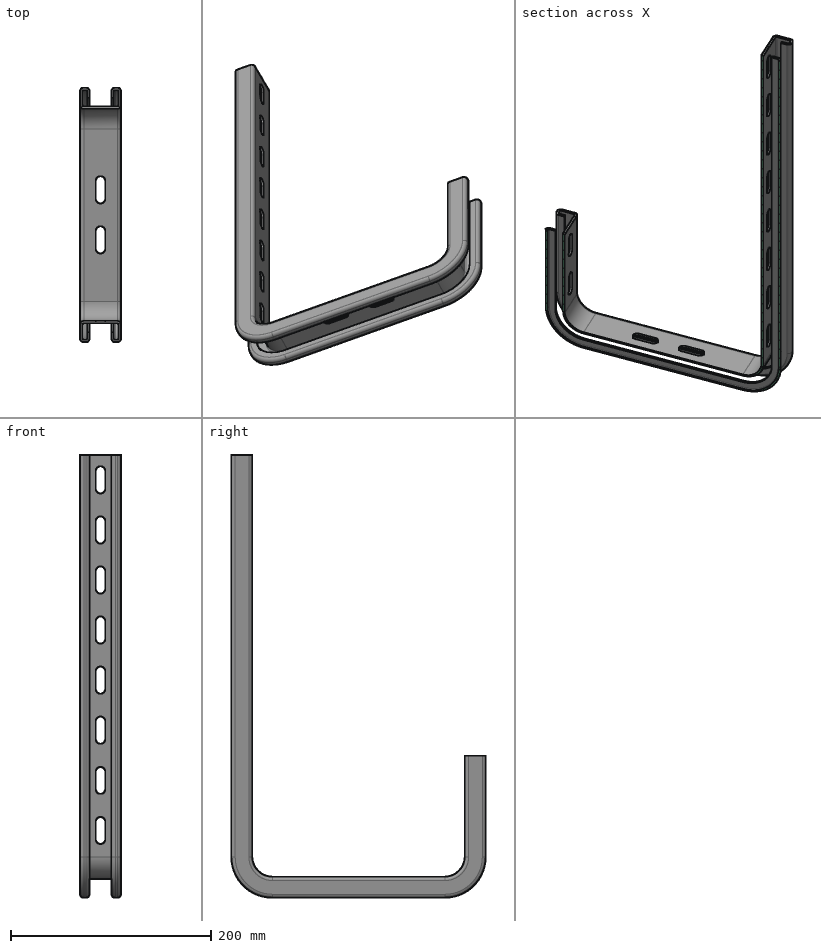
import cadquery as cq
import math

width = 41.0
length = 254.0
height = 442.0
short_leg_height = 142.0

depth = 21.0
wall = 2.5
corner_outer_radius = 3.75
corner_inner_radius = corner_outer_radius - wall
mouth_width = 21.5
lip_length = 10.0

bend_radius = 41.0

slot_pitch = 50.0
slot_length = 27.0
slot_width = 9.5
long_leg_slots = 8
short_leg_slots = 2
base_slots = 2


def rounded_outline(plane, corners):
    """Closed wire through right-angled corners (x, y, radius); radius 0 stays sharp."""
    outline = cq.Workplane(plane)
    for index, (x, y, radius) in enumerate(corners):
        corner = cq.Vector(x, y)
        before = cq.Vector(*corners[index - 1][:2])
        after = cq.Vector(*corners[(index + 1) % len(corners)][:2])
        arc_start = corner + (before - corner).normalized() * radius
        arc_end = corner + (after - corner).normalized() * radius
        if index == 0:
            outline = outline.moveTo(arc_start.x, arc_start.y)
        else:
            outline = outline.lineTo(arc_start.x, arc_start.y)
        if radius > 0:
            center = arc_start + arc_end - corner
            arc_middle = center + (corner - center).normalized() * radius
            outline = outline.threePointArc((arc_middle.x, arc_middle.y), (arc_end.x, arc_end.y))
    return outline.close()


def channel_section():
    """Section at the top of the long leg: mouth facing -Y, web facing +Y."""
    mouth_y = -length / 2
    web_y = mouth_y + depth
    lip_end_y = mouth_y + lip_length
    side_x = width / 2
    lip_x = mouth_width / 2
    right_half = [
        (side_x, web_y, corner_outer_radius),
        (side_x, mouth_y, corner_outer_radius),
        (lip_x, mouth_y, corner_outer_radius),
        (lip_x, lip_end_y, 0),
        (lip_x + wall, lip_end_y, 0),
        (lip_x + wall, mouth_y + wall, corner_inner_radius),
        (side_x - wall, mouth_y + wall, corner_inner_radius),
        (side_x - wall, web_y - wall, corner_inner_radius),
    ]
    left_half = [(-x, y, radius) for x, y, radius in reversed(right_half)]
    return rounded_outline(cq.Plane.XY(origin=(0, 0, height)), right_half + left_half)


def bend_path():
    """Path along the middle of the channel mouth: down the long leg, along the base, up the short leg."""
    end_y = length / 2
    bend_center_y = end_y - bend_radius
    arc_reach = bend_radius * math.sqrt(0.5)
    return (
        cq.Workplane("YZ")
        .moveTo(-end_y, height)
        .lineTo(-end_y, bend_radius)
        .threePointArc((-bend_center_y - arc_reach, bend_radius - arc_reach), (-bend_center_y, 0))
        .lineTo(bend_center_y, 0)
        .threePointArc((bend_center_y + arc_reach, bend_radius - arc_reach), (end_y, bend_radius))
        .lineTo(end_y, short_leg_height)
    )


def leg_slots(leg_top, count, web_middle_y):
    """Row of upright slots through the web of a leg, starting half a pitch below its top."""
    centers = [(0, leg_top - slot_pitch * (index + 0.5)) for index in range(count)]
    return (
        cq.Workplane("XZ", origin=(0, web_middle_y, 0))
        .pushPoints(centers)
        .slot2D(slot_length, slot_width, 90)
        .extrude(wall, both=True)
    )


def base_slot_row():
    """Row of slots through the web of the base, centred along its length."""
    return (
        cq.Workplane("XY", origin=(0, 0, depth - wall / 2))
        .rarray(4.5, slot_pitch, 1, base_slots)
        .slot2D(slot_length, slot_width, 90)
        .extrude(wall, both=True)
    )


leg_web_y = length / 2 - depth + wall / 2

result = (
    channel_section()
    .sweep(bend_path())
    .cut(leg_slots(height, long_leg_slots, -leg_web_y))
    .cut(leg_slots(short_leg_height, short_leg_slots, leg_web_y))
    .cut(base_slot_row())
)